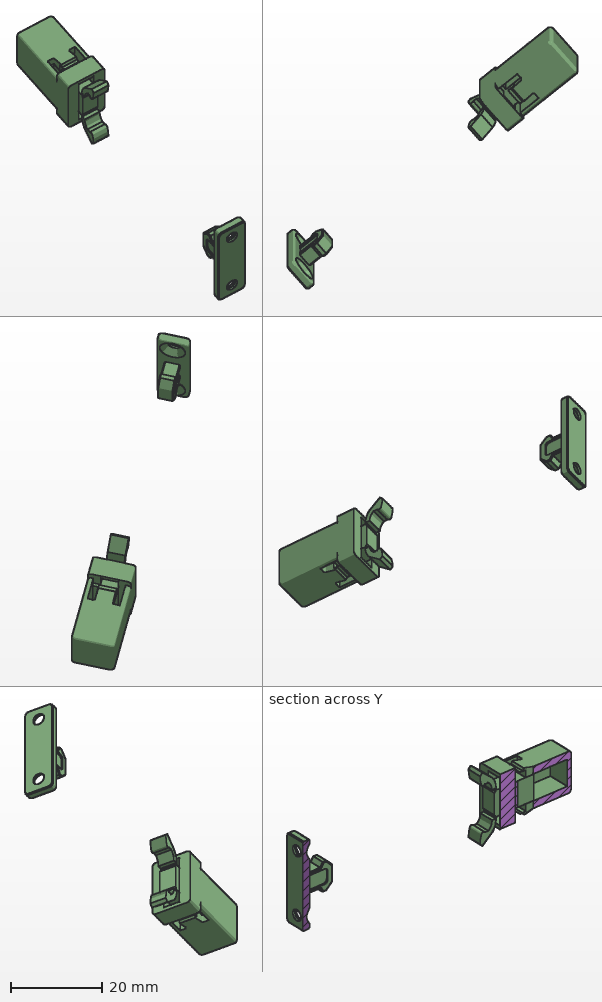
import cadquery as cq


HOUSING_WIDTH = 9.8
SHELL_HALF_HEIGHT = 10.85 / 2
COLLAR_HALF_HEIGHT = 7.1
COLLAR_START = 16.0
COLLAR_END = 20.5
EDGE_RADIUS = 0.9
WALL = 1.2
CAVITY_WIDTH = HOUSING_WIDTH - 2 * WALL
WINDOW_START = 10.7
ROOT_RADIUS = 0.4

TONGUE_WIDTH = 4.0
TONGUE_HALF = TONGUE_WIDTH / 2
RAMP_START = 11.15
TONGUE_STEP = 13.1
RIDGE_END = 13.55
LIP_START = 13.9
LIP_END = 14.7
RIDGE_HEIGHT = 5.9
LIP_HEIGHT = 5.4
LIP_THICKNESS = 0.15
TONGUE_BOTTOM = 3.4
SLOT_HALF_HEIGHT = 6.1

PLUNGER_HALF_HEIGHT = TONGUE_BOTTOM
NOSE_BARB_START = 20.9
NOSE_BARB_HEIGHT = 3.55
NOSE_CORNER_HEIGHT = 3.2
NOSE_TIP_HEIGHT = 2.85
NOSE_END = 22.0
HINGE_X = 21.55
HINGE_THICKNESS = 0.15
JAW_ROOT_HEIGHT = 3.85
STOP_LUG_START = 15.3

JAW_BACK_MIDDLE = (21.8, 5.4)
JAW_BACK_END = (22.5, 6.85)
JAW_TIP = (25.5, 9.4)
JAW_TIP_FRONT = (26.2, 8.7)
JAW_FRONT_MIDDLE = (26.0, 7.3)
JAW_TOOTH_FRONT = (25.8, 6.3)
JAW_TOOTH_BOTTOM = (25.3, 5.9)
JAW_TOOTH_BACK = (24.7, 6.15)
JAW_THROAT_END = (23.8, 6.15)
JAW_THROAT_MIDDLE = (23.0, 5.15)
JAW_ROOT_FRONT = (22.7, JAW_ROOT_HEIGHT)

TOTAL_LENGTH = 76.95
PLATE_THICKNESS = 2.1
PLATE_WIDTH = 7.2
PLATE_HEIGHT = 23.0
PLATE_CORNER_RADIUS = 1.1
PLATE_FRONT_FILLET = 0.6
PLATE_BACK_CHAMFER = 0.2
PLATE_FRONT = TOTAL_LENGTH - PLATE_THICKNESS
SCREW_SPACING = 16.5
SCREW_HOLE = 2.8
COUNTERSINK = 5.8
COUNTERSINK_ANGLE = 90
HOOK_WIDTH = 3.6
HOOK_CHAMFER = 0.2
HOOK_NOSE_RADIUS = 0.4
STEM_HALF_HEIGHT = 5.3 / 2
BARB_ROOT_X = 71.65
BARB_TOP_END = 70.95
BARB_TOP_START = 69.95
BARB_HALF_HEIGHT = 3.85
HOOK_RAMP_TOP_X = 69.4
HOOK_RAMP_TOP_HEIGHT = 3.4
HOOK_FRONT = 68.2
HOOK_FRONT_HALF_HEIGHT = 2.15
POCKET_START = 69.65
POCKET_HALF_HEIGHT = 3.9 / 2
POCKET_DEPTH = 0.4
POCKET_CORNER = 0.9


def block(x_start, x_end, y_start, y_end, z_start, z_end):
    """Box given by its limits along the three axes."""
    size = (x_end - x_start, y_end - y_start, z_end - z_start)
    return cq.Workplane("XY").box(*size, centered=False).translate((x_start, y_start, z_start))


def centred_block(x_start, x_end, width, half_height):
    """Box centred on the X axis."""
    return block(x_start, x_end, -width / 2, width / 2, -half_height, half_height)


def side_prism(outline, width):
    """Closed XZ outline extruded symmetrically along Y."""
    return cq.Workplane("XZ").polyline(outline).close().extrude(width / 2, both=True)


def mirrored(outline):
    """Upper half of an outline, completed by its mirror image below the X axis."""
    return outline + [(x, -z) for x, z in reversed(outline)]


def with_mirror_image(body):
    return body.union(body.mirror("XY"))


def make_tongues():
    """Upper and lower spring tongues, each with a ramp, a ridge and a thin overhanging lip."""
    outline = [
        (WINDOW_START, SHELL_HALF_HEIGHT),
        (RAMP_START, SHELL_HALF_HEIGHT),
        (TONGUE_STEP, RIDGE_HEIGHT),
        (RIDGE_END, RIDGE_HEIGHT),
        (LIP_START, LIP_HEIGHT),
        (LIP_END, LIP_HEIGHT),
        (TONGUE_STEP, LIP_HEIGHT - LIP_THICKNESS),
        (TONGUE_STEP, TONGUE_BOTTOM),
        (WINDOW_START, TONGUE_BOTTOM),
    ]
    return with_mirror_image(side_prism(outline, TONGUE_WIDTH))


def make_windows():
    """Openings through the top and bottom walls on both sides of the tongues."""
    beside_tongue = block(
        WINDOW_START, COLLAR_START, TONGUE_HALF, CAVITY_WIDTH / 2, -SHELL_HALF_HEIGHT, SHELL_HALF_HEIGHT
    )
    beside_tongue = beside_tongue.edges("|Z and <X and <Y").fillet(ROOT_RADIUS)
    ahead_of_root = centred_block(RAMP_START, COLLAR_START, TONGUE_WIDTH, SHELL_HALF_HEIGHT)
    return beside_tongue.union(beside_tongue.mirror("XZ")).union(ahead_of_root)


def make_housing():
    shell = centred_block(0, COLLAR_END, HOUSING_WIDTH, SHELL_HALF_HEIGHT)
    shell = shell.edges("|X or <X").fillet(EDGE_RADIUS)
    collar = centred_block(COLLAR_START, COLLAR_END, HOUSING_WIDTH, COLLAR_HALF_HEIGHT)
    collar = collar.edges("|X").fillet(EDGE_RADIUS)
    cavity = centred_block(WALL, COLLAR_START, CAVITY_WIDTH, TONGUE_BOTTOM)
    slot = centred_block(COLLAR_START, COLLAR_END, TONGUE_WIDTH, SLOT_HALF_HEIGHT)
    hollow = shell.union(collar).cut(cavity).cut(make_windows()).cut(slot)
    return hollow.union(make_tongues())


def make_jaw():
    """Upper jaw, joined to the nose by a thin film hinge."""
    hinge_front = HINGE_X + HINGE_THICKNESS
    jaw = (
        cq.Workplane("XZ")
        .moveTo(HINGE_X, NOSE_CORNER_HEIGHT)
        .lineTo(HINGE_X, JAW_ROOT_HEIGHT)
        .threePointArc(JAW_BACK_MIDDLE, JAW_BACK_END)
        .lineTo(*JAW_TIP)
        .lineTo(*JAW_TIP_FRONT)
        .lineTo(*JAW_FRONT_MIDDLE)
        .lineTo(*JAW_TOOTH_FRONT)
        .threePointArc(JAW_TOOTH_BOTTOM, JAW_TOOTH_BACK)
        .lineTo(*JAW_THROAT_END)
        .threePointArc(JAW_THROAT_MIDDLE, JAW_ROOT_FRONT)
        .lineTo(hinge_front, JAW_ROOT_HEIGHT)
        .lineTo(hinge_front, NOSE_CORNER_HEIGHT)
        .close()
    )
    return jaw.extrude(TONGUE_HALF, both=True)


def make_plunger():
    half_outline = [
        (WINDOW_START, PLUNGER_HALF_HEIGHT),
        (NOSE_BARB_START, PLUNGER_HALF_HEIGHT),
        (HINGE_X, NOSE_BARB_HEIGHT),
        (HINGE_X + HINGE_THICKNESS, NOSE_CORNER_HEIGHT),
        (NOSE_END, NOSE_TIP_HEIGHT),
    ]
    slide = side_prism(mirrored(half_outline), TONGUE_WIDTH)
    lug = block(
        STOP_LUG_START, COLLAR_START, 0, CAVITY_WIDTH / 2, -PLUNGER_HALF_HEIGHT, PLUNGER_HALF_HEIGHT
    )
    return slide.union(lug).union(with_mirror_image(make_jaw()))


def make_plate():
    plate = centred_block(PLATE_FRONT, TOTAL_LENGTH, PLATE_WIDTH, PLATE_HEIGHT / 2)
    plate = plate.edges("|X").fillet(PLATE_CORNER_RADIUS)
    plate = plate.faces("<X").edges().fillet(PLATE_FRONT_FILLET)
    plate = plate.faces(">X").edges().chamfer(PLATE_BACK_CHAMFER)
    screw_places = [(0, SCREW_SPACING / 2), (0, -SCREW_SPACING / 2)]
    front = plate.faces("<X").workplane(origin=(PLATE_FRONT, 0, 0))
    return front.pushPoints(screw_places).cskHole(SCREW_HOLE, COUNTERSINK, COUNTERSINK_ANGLE)


def make_hook():
    """Arrow-shaped hook on a short stem, with a shallow pocket in each side."""
    half_outline = [
        (PLATE_FRONT, STEM_HALF_HEIGHT),
        (BARB_ROOT_X, STEM_HALF_HEIGHT),
        (BARB_TOP_END, BARB_HALF_HEIGHT),
        (BARB_TOP_START, BARB_HALF_HEIGHT),
        (HOOK_RAMP_TOP_X, HOOK_RAMP_TOP_HEIGHT),
        (HOOK_FRONT, HOOK_FRONT_HALF_HEIGHT),
    ]
    hook = side_prism(mirrored(half_outline), HOOK_WIDTH)
    hook = hook.edges("|Y and <X").fillet(HOOK_NOSE_RADIUS)
    hook = hook.faces("<Y or >Y").chamfer(HOOK_CHAMFER)
    pocket = block(
        POCKET_START,
        PLATE_FRONT,
        HOOK_WIDTH / 2 - POCKET_DEPTH,
        HOOK_WIDTH / 2,
        -POCKET_HALF_HEIGHT,
        POCKET_HALF_HEIGHT,
    )
    pocket = pocket.edges("|Y and <X").fillet(POCKET_CORNER)
    return hook.cut(pocket).cut(pocket.mirror("XZ"))


def make_striker():
    return make_plate().union(make_hook())


housing = make_housing()
plunger = make_plunger()
striker = make_striker()

result = cq.Compound.makeCompound([body.solids().val() for body in (housing, plunger, striker)])